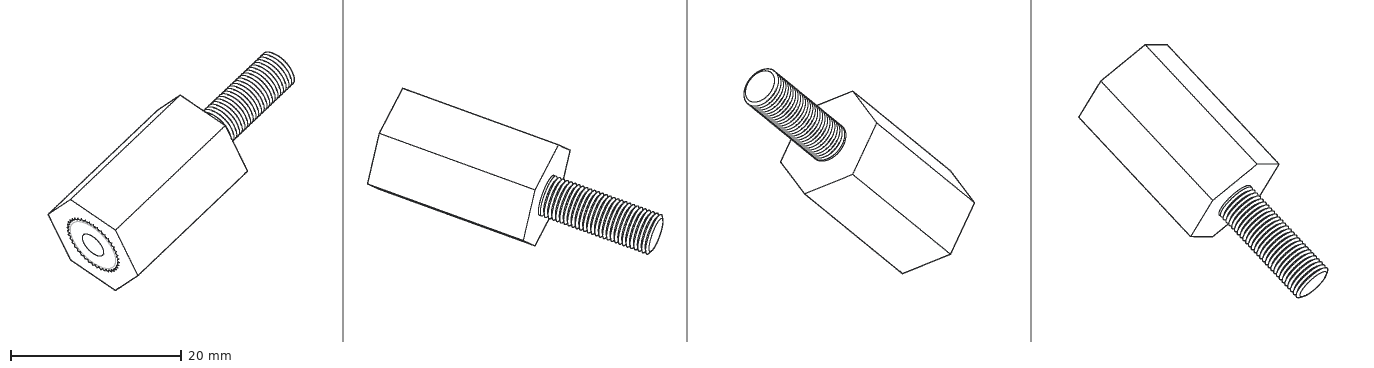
import cadquery as cq
import math

TOTAL_LENGTH = 34.0
ACROSS_FLATS = 12.0

STUD_REACH = 14.0
STUD_SEAT_DEPTH = 7.0
STUD_DIAMETER = 5.0
STUD_ROOT_DIAMETER = 4.18
THREAD_RINGS = 28

INSERT_LENGTH = 10.0
BORE_DIAMETER = 3.3
SLEEVE_DIAMETER = 7.0
KNURL_ROOT_DIAMETER = 7.5
KNURL_TIP_DIAMETER = 8.02
KNURL_TEETH = 40
KNURL_TOOTH_WIDTH = 0.45

across_corners = ACROSS_FLATS / math.cos(math.radians(30))
front_y = -TOTAL_LENGTH / 2
stud_end_y = TOTAL_LENGTH / 2
housing_back_y = stud_end_y - STUD_REACH
housing_length = housing_back_y - front_y
stud_seat_y = housing_back_y - STUD_SEAT_DEPTH
thread_pitch = STUD_REACH / THREAD_RINGS


def plane_at(y):
    """Sketch plane across the axis at y; extrusion goes toward +Y."""
    return cq.Workplane(cq.Plane(origin=(0, y, 0), xDir=(1, 0, 0), normal=(0, 1, 0)))


def cylinder(start_y, diameter, length):
    """Round bar on the axis, running toward +Y from start_y."""
    return plane_at(start_y).circle(diameter / 2).extrude(length)


def polar_point(radius, angle):
    return (radius * math.cos(angle), radius * math.sin(angle))


def make_knurled_bar():
    """Straight-knurled bar: pointed teeth parted by narrow arcs of the root circle."""
    root = KNURL_ROOT_DIAMETER / 2
    tip = KNURL_TIP_DIAMETER / 2
    tooth_step = 2 * math.pi / KNURL_TEETH
    half_tooth = math.asin(KNURL_TOOTH_WIDTH / KNURL_ROOT_DIAMETER)

    outline = plane_at(front_y).moveTo(*polar_point(root, -half_tooth))
    for tooth in range(KNURL_TEETH):
        tip_angle = tooth * tooth_step
        outline = outline.lineTo(*polar_point(tip, tip_angle))
        outline = outline.lineTo(*polar_point(root, tip_angle + half_tooth))
        outline = outline.threePointArc(
            polar_point(root, tip_angle + tooth_step / 2),
            polar_point(root, tip_angle + tooth_step - half_tooth),
        )
    return outline.close().extrude(INSERT_LENGTH)


def make_insert():
    """Bored sleeve carrying a knurled ring; their end faces stay separate but flush."""
    sleeve_bar = cylinder(front_y, SLEEVE_DIAMETER, INSERT_LENGTH)
    bore = cylinder(front_y, BORE_DIAMETER, INSERT_LENGTH)
    knurled_ring = make_knurled_bar().cut(sleeve_bar)
    sleeve = sleeve_bar.cut(bore)
    return knurled_ring.union(sleeve, clean=False)


def make_housing():
    """Hexagonal body with corners on X, a knurled front pocket and a round back socket."""
    body = plane_at(front_y).polygon(6, across_corners).extrude(housing_length)
    stud_socket = cylinder(stud_seat_y, STUD_DIAMETER, STUD_SEAT_DEPTH)
    return body.cut(make_knurled_bar()).cut(stud_socket)


def make_stud():
    """Plain shank followed by equal pointed thread rings."""
    crest = STUD_DIAMETER / 2
    root = STUD_ROOT_DIAMETER / 2
    profile = [(0, stud_seat_y), (crest, stud_seat_y)]
    for ring in range(THREAD_RINGS):
        ring_start_y = housing_back_y + ring * thread_pitch
        profile.append((crest, ring_start_y + thread_pitch / 2))
        profile.append((root, ring_start_y + thread_pitch))
    profile.append((0, stud_end_y))
    return cq.Workplane("XY").polyline(profile).close().revolve(360, (0, 0, 0), (0, 1, 0))


housing = make_housing()
insert = make_insert()
stud = make_stud()

bodies = [body.solids().val() for body in (housing, insert, stud)]
result = cq.Compound.makeCompound(bodies)